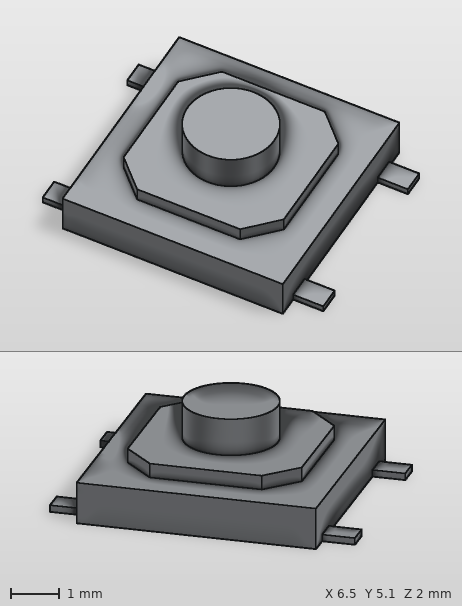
import cadquery as cq

housing_side = 5.1
housing_height = 0.9

plate_side = 3.71
plate_height = 0.305
corner_cut = 0.66

button_diameter = 2.0
total_height = 2.0
plate_top = housing_height + plate_height
button_height = total_height - plate_top

terminal_span = 6.5
terminal_width = 0.5
terminal_thickness = 0.15
terminal_spacing = 3.7


def make_housing():
    return cq.Workplane("XY").box(
        housing_side, housing_side, housing_height, centered=(True, True, False)
    )


def make_plate():
    plate = cq.Workplane("XY").workplane(offset=housing_height).rect(plate_side, plate_side)
    return plate.extrude(plate_height).edges("|Z").chamfer(corner_cut)


def make_button():
    button = cq.Workplane("XY").workplane(offset=plate_top).circle(button_diameter / 2)
    return button.extrude(button_height)


def make_terminal_pair(y):
    strip = cq.Workplane("XY").center(0, y).rect(terminal_span, terminal_width)
    return strip.extrude(terminal_thickness)


result = make_housing().union(make_plate()).union(make_button())
for side in (-1, 1):
    result = result.union(make_terminal_pair(side * terminal_spacing / 2))